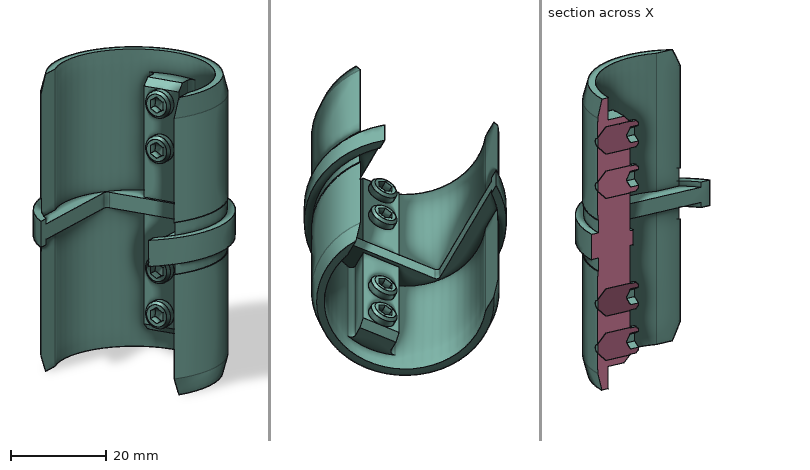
import cadquery as cq
import math

length = 65.5
tube_diameter = 39.35
bore_diameter = 33.9
end_taper_height = 4.05
end_taper_angle = 15.0
opening_width = 32.15

groove_diameter = 39.0
groove_span = 11.45

flange_diameter = 42.4
flange_thickness = 5.75
web_thickness = 3.4
slot_width = 26.0
slot_floor_y = 10.75
slot_corner_radius = 0.85

block_width = 8.4
block_length = 55.55
block_front_y = 11.45
block_bevel_height = 1.6
block_bevel_depth = 1.6
block_fillet_radius = 1.0

screw_diameter = 6.0
screw_length = 10.2
screw_tip_diameter = 1.8
screw_tip_angle = 90.0
screw_front_y = 9.4
screw_chamfer = 0.6
socket_across_flats = 3.0
socket_depth = 1.95
socket_tip_angle = 120.0
inner_screw_z = 13.2
outer_screw_z = 23.2
screw_heights = [-outer_screw_z, -inner_screw_z, inner_screw_z, outer_screw_z]

tube_radius = tube_diameter / 2
bore_radius = bore_diameter / 2
groove_radius = groove_diameter / 2
flange_radius = flange_diameter / 2
half_length = length / 2


def make_tube():
    """Tube with tapered ends and a grooved waist, open along the -Y side."""
    end_radius = tube_radius - end_taper_height * math.tan(math.radians(end_taper_angle))
    taper_z = half_length - end_taper_height
    groove_z = groove_span / 2
    tube = (
        cq.Workplane("XZ")
        .moveTo(bore_radius, -half_length)
        .lineTo(end_radius, -half_length)
        .lineTo(tube_radius, -taper_z)
        .lineTo(tube_radius, -groove_z)
        .lineTo(groove_radius, -groove_z)
        .lineTo(groove_radius, groove_z)
        .lineTo(tube_radius, groove_z)
        .lineTo(tube_radius, taper_z)
        .lineTo(end_radius, half_length)
        .lineTo(bore_radius, half_length)
        .close()
        .revolve(360, (0, 0, 0), (0, 1, 0))
    )
    opening = cq.Workplane("XY").box(
        opening_width, tube_diameter, length, centered=(True, False, True)
    ).translate((0, -tube_diameter, 0))
    return tube.cut(opening)


def make_screw_block():
    """Block reaching from its front face into the tube wall, beveled at both ends."""
    mid_wall_y = (bore_radius + tube_radius) / 2
    half_block = block_length / 2
    bevel_z = half_block - block_bevel_height
    bevel_y = block_front_y + block_bevel_depth
    return (
        cq.Workplane("YZ")
        .moveTo(block_front_y, -bevel_z)
        .lineTo(block_front_y, bevel_z)
        .lineTo(bevel_y, half_block)
        .lineTo(mid_wall_y, half_block)
        .lineTo(mid_wall_y, -half_block)
        .lineTo(bevel_y, -half_block)
        .close()
        .extrude(block_width / 2, both=True)
    )


def fillet_block_roots(body):
    """Round the two long inside corners where the block meets the bore."""
    half_width = block_width / 2
    root_y = math.sqrt(bore_radius**2 - half_width**2)
    for x in (-half_width, half_width):
        root_edge = cq.selectors.NearestToPointSelector((x, root_y, 0))
        body = body.edges("|Z").edges(root_edge).fillet(block_fillet_radius)
    return body


def make_flange():
    """Outer flange ring and inner web with a U-shaped slot open toward -Y."""
    ring = (
        cq.Workplane("XY")
        .circle(flange_radius)
        .circle(groove_radius)
        .extrude(flange_thickness / 2, both=True)
    )
    web = cq.Workplane("XY").circle(groove_radius).extrude(web_thickness / 2, both=True)
    slot_depth = slot_floor_y + flange_radius
    slot = (
        cq.Workplane("XY")
        .box(slot_width, slot_depth, flange_thickness)
        .translate((0, slot_floor_y - slot_depth / 2, 0))
        .edges("|Z and >Y")
        .fillet(slot_corner_radius)
    )
    return ring.union(web).cut(slot)


def make_screw_blank(z):
    """Round bar along Y with a truncated cone point, in the place of one screw."""
    radius = screw_diameter / 2
    tip_radius = screw_tip_diameter / 2
    point_length = (radius - tip_radius) / math.tan(math.radians(screw_tip_angle / 2))
    return (
        cq.Workplane("XY")
        .lineTo(radius, 0)
        .lineTo(radius, screw_length - point_length)
        .lineTo(tip_radius, screw_length)
        .lineTo(0, screw_length)
        .close()
        .revolve(360, (0, 0, 0), (0, 1, 0))
        .translate((0, screw_front_y, z))
    )


def make_screw_hole(z):
    """Fitting hole for one screw, breaking through the outer wall at the tip diameter."""
    tip_exit = (
        cq.Workplane("XZ", origin=(0, 0, z))
        .workplane(offset=-block_front_y)
        .circle(screw_tip_diameter / 2)
        .extrude(-(flange_radius - block_front_y))
    )
    return make_screw_blank(z).union(tip_exit)


def make_housing():
    housing = fillet_block_roots(make_tube().union(make_screw_block()))
    housing = housing.union(make_flange())
    for z in screw_heights:
        housing = housing.cut(make_screw_hole(z))
    return housing


def make_socket():
    """Hexagonal socket, corners up and down, ending in a conical tip."""
    corner_radius = socket_across_flats / math.sqrt(3)
    tip_depth = socket_depth + corner_radius / math.tan(math.radians(socket_tip_angle / 2))
    corner_up_turn = 30
    hexagon = (
        cq.Workplane("XZ")
        .polygon(6, 2 * corner_radius)
        .extrude(-tip_depth)
        .rotate((0, 0, 0), (0, 1, 0), corner_up_turn)
    )
    drill = (
        cq.Workplane("XY")
        .lineTo(corner_radius, 0)
        .lineTo(corner_radius, socket_depth)
        .lineTo(0, tip_depth)
        .close()
        .revolve(360, (0, 0, 0), (0, 1, 0))
    )
    return hexagon.intersect(drill)


def make_set_screw(z):
    blank = make_screw_blank(z).faces("<Y").chamfer(screw_chamfer)
    return blank.cut(make_socket().translate((0, screw_front_y, z)))


housing = make_housing()
set_screws = [make_set_screw(z).solids().val() for z in screw_heights]

result = cq.Compound.makeCompound([housing.solids().val(), *set_screws])